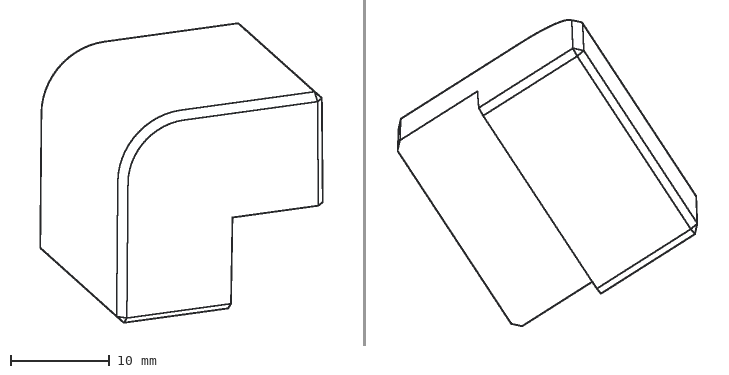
import cadquery as cq
import math

width = 22.77
depth = 22.38
height = 22.1

step_height = 10.06
step_depth = 10.1
corner_radius = 6.8
chamfer = 0.8

outer_draft = 0.5
inner_draft = 1.0
outer_slope = math.tan(math.radians(outer_draft))
inner_slope = math.tan(math.radians(inner_draft))

front_at_bottom = -chamfer * outer_slope
front_at_top = front_at_bottom + height * outer_slope
back_at_step = depth
back_at_top = back_at_step - (height - step_height) * outer_slope
inner_at_step = back_at_step - step_depth
inner_at_bottom = inner_at_step - step_height * inner_slope


def make_angle_block():
    """Extrude the drafted L section along X, centred on X = 0."""
    section = [
        (front_at_bottom, 0),
        (front_at_top, height),
        (back_at_top, height),
        (back_at_step, step_height),
        (inner_at_step, step_height),
        (inner_at_bottom, 0),
    ]
    return cq.Workplane("YZ").polyline(section).close().extrude(width / 2, both=True)


def long_edge(block, y, z):
    """Select the edge running along X that passes through (y, z)."""
    return block.edges("|X").edges(cq.selectors.NearestToPointSelector((0, y, z)))


def round_front_corner(block):
    """Round the edge between the front wall and the top."""
    return long_edge(block, front_at_top, height).fillet(corner_radius)


def is_step_edge(edge):
    """True for an end-face edge that borders the inner step."""
    box = edge.BoundingBox()
    tolerance = 0.002
    return box.ymin > inner_at_bottom - tolerance and box.zmax < step_height + tolerance


def chamfer_outer_edges(block):
    """Bevel the outer edges and leave the edges of the inner step sharp."""
    end_edges = block.faces("<X or >X").edges()
    outer_edges = end_edges.filter(lambda edge: not is_step_edge(edge))
    outer_edges = outer_edges.add(long_edge(block, back_at_top, height))
    outer_edges = outer_edges.add(long_edge(block, front_at_bottom, 0))
    return outer_edges.chamfer(chamfer)


angle_block = make_angle_block()
rounded_block = round_front_corner(angle_block)
result = chamfer_outer_edges(rounded_block)